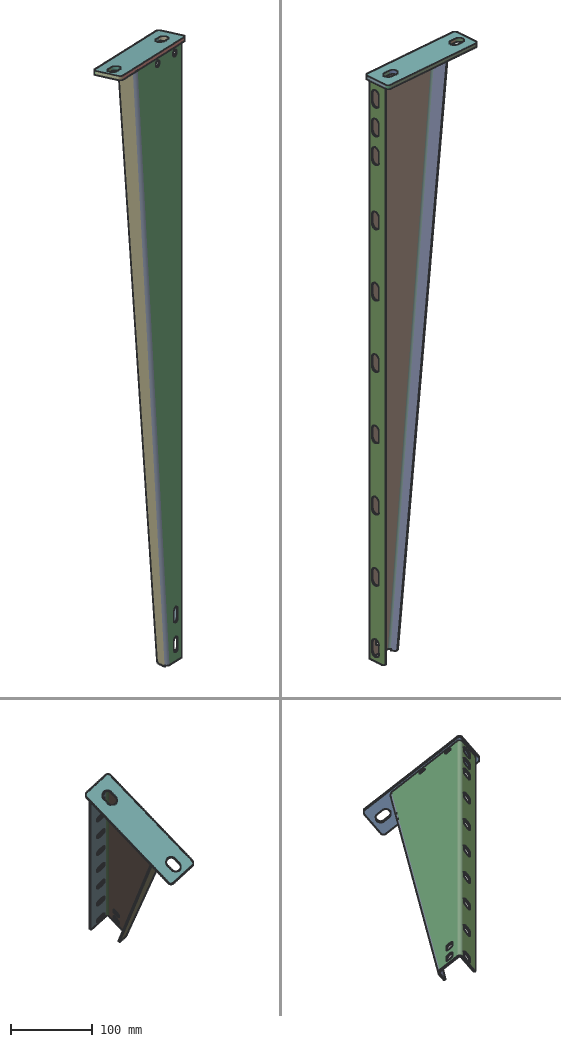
import cadquery as cq
import math

height = 820.0
plate_width = 40.0
plate_length = 155.0
plate_thickness = 6.0
plate_corner_radius = 4.0
plate_slot_width = 12.0
plate_slot_length = 20.5
plate_slot_back_y = 53.0
plate_slot_front_y = -61.0

sheet = 2.0
bend_radius = 2.5
channel_left = -13.0
channel_right = 17.0
channel_back = 75.5
front_y_top = -38.0
front_y_bottom = 38.5
front_flange_drop = 2.0
front_flange_gap = 2.5
front_edge_x_top = -8.0
front_edge_x_bottom = 2.05
flange_corner_radius = 5.0

back_slot_x = 4.0
back_slot_width = 12.0
back_slot_length = 25.0
back_slot_pitch = 100.0
back_slot_count = 7
back_slot_end = 19.0
upper_slot_pitch = 40.0
upper_slot_count = 3
upper_slot_gap = 90.0

web_hole_diameter = 9.0
web_hole_depth_from_plate = 10.0
web_hole_ys = (56.0, 15.0)
web_slot_width = 10.0
web_slot_length = 20.5
web_slot_y = 58.0
web_slot_pitch = 39.0
web_slot_end = 22.0

plate_top = height / 2
channel_top = plate_top - plate_thickness
flange_bottom = -height / 2
web_bottom = flange_bottom + front_flange_drop
slope_run = front_y_bottom - front_y_top
slope_rise = channel_top - flange_bottom
sheet_along_y = sheet * math.hypot(slope_run, slope_rise) / slope_rise
channel_width = channel_right - channel_left
bend_start_x = channel_right - sheet - bend_radius


def make_plate():
    plate = (
        cq.Workplane("XY", origin=(0, 0, channel_top))
        .rect(plate_width, plate_length)
        .extrude(plate_thickness)
        .edges("|Z")
        .fillet(plate_corner_radius)
    )
    slots = (
        cq.Workplane("XY", origin=(0, 0, channel_top))
        .pushPoints([(0, plate_slot_back_y), (0, plate_slot_front_y)])
        .slot2D(plate_slot_length, plate_slot_width, 90)
        .extrude(plate_thickness)
    )
    return plate.cut(slots)


def tapered_block(back_y, front_inset, right_x, radius):
    """Full-height block with a sloping front face and both long edges of its +X face rounded."""
    block = (
        cq.Workplane("YZ", origin=(channel_left, 0, 0))
        .moveTo(back_y, channel_top)
        .lineTo(front_y_top + front_inset, channel_top)
        .lineTo(front_y_bottom + front_inset, flange_bottom)
        .lineTo(back_y, flange_bottom)
        .close()
        .extrude(right_x - channel_left)
    )
    return block.faces(">X").edges("not |Y").fillet(radius)


def bent_sheet():
    outside = tapered_block(channel_back, 0, channel_right, sheet + bend_radius)
    inside = tapered_block(channel_back - sheet, sheet_along_y, channel_right - sheet, bend_radius)
    return outside.cut(inside)


def front_flat_blank():
    """Full-width strip of sheet that the sloping front flange is cut from."""
    return (
        cq.Workplane("YZ", origin=(channel_left, 0, 0))
        .moveTo(front_y_top, channel_top)
        .lineTo(front_y_top + sheet_along_y, channel_top)
        .lineTo(front_y_bottom + sheet_along_y, flange_bottom)
        .lineTo(front_y_bottom, flange_bottom)
        .close()
        .extrude(bend_start_x - channel_left)
    )


def front_flange():
    """Flat of the front flange: narrows downwards and ends in a slanted edge below the web."""
    outline = (
        cq.Workplane("XZ", origin=(0, channel_back, 0))
        .moveTo(front_edge_x_top, channel_top)
        .lineTo(bend_start_x, channel_top)
        .lineTo(bend_start_x, flange_bottom)
        .lineTo(front_edge_x_bottom + flange_corner_radius, web_bottom)
        .radiusArc((front_edge_x_bottom, web_bottom + flange_corner_radius), flange_corner_radius)
        .close()
        .extrude(channel_back - front_y_top)
    )
    return front_flat_blank().intersect(outline)


def channel_wide_block(base_z, depth, thickness):
    """Block across the channel's full width, reaching back from the top of the front flange."""
    block = cq.Workplane("XY").box(channel_width, depth, thickness, centered=False)
    return block.translate((channel_left, front_y_top, base_z))


def gap_below_plate():
    """Clearance between the plate and the top of the front flange with its bend."""
    return channel_wide_block(channel_top - front_flange_gap, sheet + bend_radius, front_flange_gap)


def below_web():
    """Strip below the level lower edge of the web, which only the front flange reaches into."""
    return channel_wide_block(flange_bottom, channel_back - front_y_top, front_flange_drop)


def back_flange_slots():
    first_z = web_bottom + back_slot_end
    lower = [first_z + i * back_slot_pitch for i in range(back_slot_count)]
    upper = [lower[-1] + upper_slot_gap + i * upper_slot_pitch for i in range(upper_slot_count)]
    return (
        cq.Workplane("XZ", origin=(0, channel_back, 0))
        .pushPoints([(back_slot_x, z) for z in lower + upper])
        .slot2D(back_slot_length, back_slot_width, 90)
        .extrude(sheet)
    )


def web_holes():
    web_plane = cq.Workplane("YZ", origin=(channel_right - sheet, 0, 0))
    hole_z = channel_top - web_hole_depth_from_plate
    holes = (
        web_plane.pushPoints([(y, hole_z) for y in web_hole_ys])
        .circle(web_hole_diameter / 2)
        .extrude(sheet)
    )
    slot_z = web_bottom + web_slot_end
    slots = (
        web_plane.pushPoints([(web_slot_y, slot_z), (web_slot_y, slot_z + web_slot_pitch)])
        .slot2D(web_slot_length, web_slot_width, 90)
        .extrude(sheet)
    )
    return holes.union(slots)


def make_channel():
    level_sheet = bent_sheet().cut(front_flat_blank()).cut(below_web())
    rounded_sheet = level_sheet.edges("|Y and <X and <Z").fillet(flange_corner_radius)
    return (
        rounded_sheet.union(front_flange())
        .cut(gap_below_plate())
        .cut(back_flange_slots())
        .cut(web_holes())
    )


plate = make_plate()
channel = make_channel()
result = cq.Compound.makeCompound([plate.val(), channel.val()])